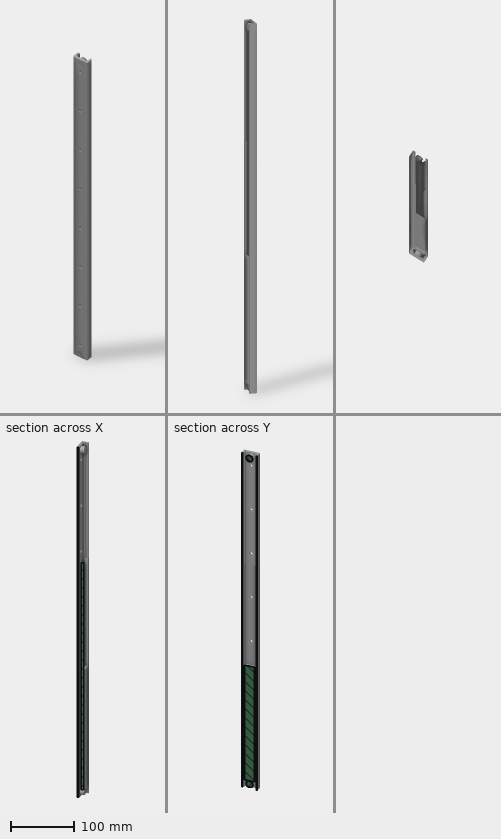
import cadquery as cq

rail_length = 610.0
rail_width = 28.0
rail_height = 12.3
rail_edge_radius = 1.0
web_thickness = 4.0
channel_width = 20.0
groove_radius = 2.0
groove_center_y = 8.9

hole_diameter = 5.5
hole_pitch = 80.0
hole_count = 8
first_hole_z = (rail_length - hole_pitch * (hole_count - 1)) / 2
hole_positions = [first_hole_z + i * hole_pitch for i in range(hole_count)]

stop_pin_diameter = 9.2
stop_pin_recess = 1.0
stop_head_diameter = 12.0
stop_head_height = 6.5
stop_end_distance = 8.0
stop_positions = [stop_end_distance, rail_length - stop_end_distance]

carriage_start_z = stop_end_distance + stop_head_diameter / 2

slider_length = 210.0
slider_width = 17.0
slider_bottom_y = 6.3
slider_top_y = 12.9

cage_length = 396.0
cage_thickness = 0.8
cage_height = 4.9
cage_bottom_y = rail_height - cage_height
cage_center_x = (channel_width + slider_width) / 4


def bar(width, y_start, y_end, z_start, length, x_center=0.0):
    """A rectangular bar along Z, given by its width in X and its limits in Y."""
    corner = cq.Vector(x_center - width / 2, y_start, z_start)
    return cq.Workplane(cq.Solid.makeBox(width, y_end - y_start, length, corner))


def disc_along_y(diameter, y_start, y_end, z):
    """A cylinder at x = 0 whose axis runs along Y."""
    start = cq.Vector(0, y_start, z)
    along_y = cq.Vector(0, 1, 0)
    return cq.Workplane(cq.Solid.makeCylinder(diameter / 2, y_end - y_start, start, along_y))


def ball_groove(side):
    """A round cutter along Z for the ball track in one wall of the channel."""
    center_x = side * channel_width / 2
    return cq.Workplane("XY").center(center_x, groove_center_y).circle(groove_radius).extrude(rail_length)


def make_rail():
    rail = bar(rail_width, 0, rail_height, 0, rail_length)
    rail = rail.edges("|Z").fillet(rail_edge_radius)
    rail = rail.cut(bar(channel_width, web_thickness, rail_height, 0, rail_length))
    for side in (-1, 1):
        rail = rail.cut(ball_groove(side))
    for z in hole_positions:
        rail = rail.cut(disc_along_y(hole_diameter, 0, web_thickness, z))
    for z in stop_positions:
        rail = rail.cut(disc_along_y(stop_pin_diameter, 0, web_thickness, z))
    return rail


def make_slider():
    return bar(slider_width, slider_bottom_y, slider_top_y, carriage_start_z, slider_length)


def make_cage(side):
    center_x = side * cage_center_x
    return bar(cage_thickness, cage_bottom_y, rail_height, carriage_start_z, cage_length, center_x)


def make_stop(z):
    pin = disc_along_y(stop_pin_diameter, stop_pin_recess, web_thickness, z)
    head = disc_along_y(stop_head_diameter, web_thickness, web_thickness + stop_head_height, z)
    return pin.union(head)


rail = make_rail()
slider = make_slider()
cages = [make_cage(side) for side in (-1, 1)]
stops = [make_stop(z) for z in stop_positions]

result = cq.Compound.makeCompound(
    [
        rail.solids().val(),
        slider.val(),
        *[cage.val() for cage in cages],
        *[stop.solids().val() for stop in stops],
    ]
)